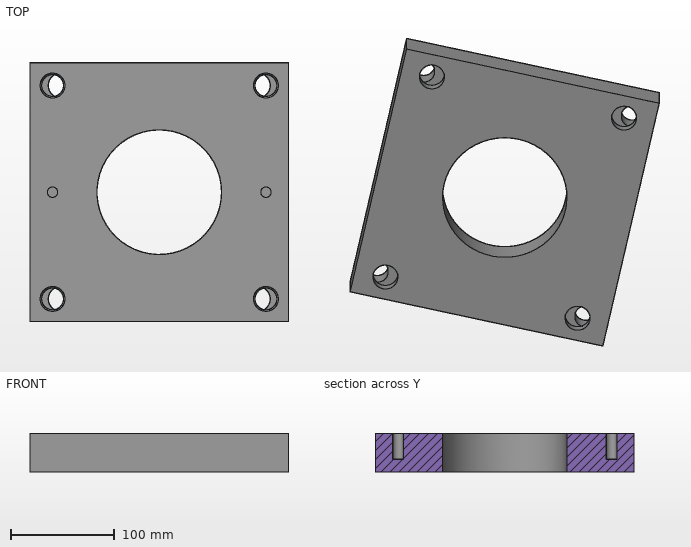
import cadquery as cq

plate_side = 250.0
plate_thickness = 37.5
central_bore_diameter = 120.0

hole_offset = 103.0
corner_hole_diameter = 21.0
corner_mouth_diameter = 24.0
corner_hole_depth = 25.0
mouth_chamfer = (corner_mouth_diameter - corner_hole_diameter) / 2

relief_diameter = 24.0
relief_shift = 8.0
relief_offset = hole_offset - relief_shift
relief_depth = plate_thickness - corner_hole_depth

pin_hole_diameter = 10.0
pin_hole_depth = 25.0

corner_points = [(x * hole_offset, y * hole_offset) for x in (-1, 1) for y in (-1, 1)]
relief_points = [(x * relief_offset, y * hole_offset) for x in (-1, 1) for y in (-1, 1)]
pin_points = [(-hole_offset, 0), (hole_offset, 0)]


def cylinders(points, diameter, bottom, height):
    """Upright cylinders at the given points, starting at height `bottom`."""
    return cq.Workplane("XY", origin=(0, 0, bottom)).pushPoints(points).circle(diameter / 2).extrude(height)


def mouth_cones(points):
    """Cones that open each corner hole to its mouth diameter at the top face."""
    cone = cq.Solid.makeCone(
        corner_hole_diameter / 2,
        corner_mouth_diameter / 2,
        mouth_chamfer,
        pnt=cq.Vector(0, 0, plate_thickness - mouth_chamfer),
    )
    return cq.Workplane("XY").pushPoints(points).eachpoint(lambda place: cone.moved(place))


plate = cq.Workplane("XY").box(plate_side, plate_side, plate_thickness, centered=(True, True, False))
plate = plate.cut(cylinders([(0, 0)], central_bore_diameter, 0, plate_thickness))

corner_floor = plate_thickness - corner_hole_depth
plate = plate.cut(cylinders(corner_points, corner_hole_diameter, corner_floor, corner_hole_depth))
plate = plate.cut(mouth_cones(corner_points))
plate = plate.cut(cylinders(relief_points, relief_diameter, 0, relief_depth))

pin_floor = plate_thickness - pin_hole_depth
plate = plate.cut(cylinders(pin_points, pin_hole_diameter, pin_floor, pin_hole_depth))

result = plate